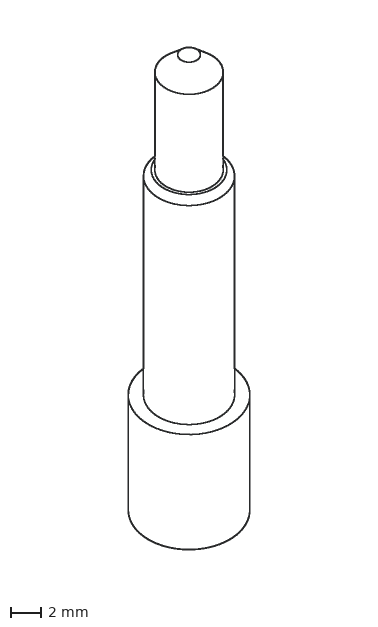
import cadquery as cq

total_height = 39.5

base_diameter = 8.0
base_height = 10.0

shank_diameter = 6.0
shank_top = 29.5
shank_chamfer = 0.5

tip_diameter = 4.5
tip_chamfer = 1.5


def cylinder(diameter, bottom, top):
    """Solid cylinder on the Z axis between two heights."""
    return cq.Workplane("XY").workplane(offset=bottom).circle(diameter / 2).extrude(top - bottom)


base = cylinder(base_diameter, 0, base_height)
shank = cylinder(shank_diameter, base_height, shank_top).faces(">Z").chamfer(shank_chamfer)
tip = cylinder(tip_diameter, shank_top, total_height).faces(">Z").chamfer(tip_chamfer)

result = base.union(shank).union(tip)